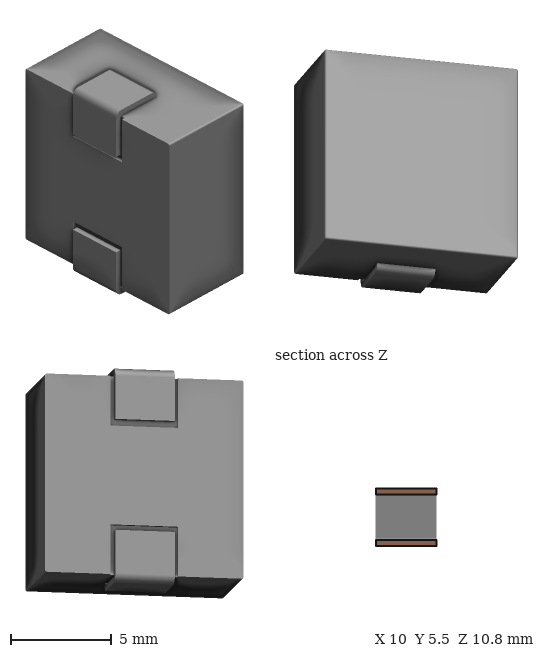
import cadquery as cq

body_side = 10.0
body_depth = 5.3
edge_radius = 0.1

overall_height = 10.8
terminal_width = 3.0
terminal_thickness = 0.3
bend_inner_radius = 0.1
bend_outer_radius = bend_inner_radius + terminal_thickness
terminal_length_y = 2.87
leg_height = 2.6
leg_protrusion = 0.2
root_depth = 0.3

recess_width = 3.4
recess_height = 2.51
recess_depth = 0.2

body_front = -body_depth / 2
body_top = body_side / 2
terminal_top = overall_height / 2
leg_end_z = terminal_top - leg_height
terminal_front = body_front - leg_protrusion
terminal_back = terminal_front + terminal_length_y
terminal_middle_y = (terminal_front + terminal_back) / 2
gap_length = terminal_length_y - 2 * terminal_thickness


def make_body():
    """Block with every edge rounded except those around the -Y face."""
    block = cq.Workplane("XY").box(body_side, body_depth, body_side)
    return block.edges("|Y or >Y").fillet(edge_radius)


def make_recess():
    """Cutter for the upper leg recess, open to the -Y and top faces."""
    return (
        cq.Workplane("XY")
        .box(recess_width, 2 * recess_depth, 2 * recess_height)
        .translate((0, body_front, body_top))
    )


def make_terminal():
    """Upper terminal: a strip rising from the body, bent over and down along the -Y face."""
    inner_height = leg_height - terminal_thickness
    outer = (
        cq.Workplane("XY")
        .box(terminal_width, terminal_length_y, leg_height)
        .edges("|X and >Z")
        .fillet(bend_outer_radius)
        .translate((0, terminal_middle_y, terminal_top - leg_height / 2))
    )
    inner = (
        cq.Workplane("XY")
        .box(terminal_width, gap_length, inner_height)
        .edges("|X and >Z")
        .fillet(bend_inner_radius)
        .translate((0, terminal_middle_y, leg_end_z + inner_height / 2))
    )
    root_bottom = body_top - root_depth
    below_root = (
        cq.Workplane("XY")
        .box(terminal_width, terminal_thickness, root_bottom - leg_end_z)
        .translate((0, terminal_back - terminal_thickness / 2, (root_bottom + leg_end_z) / 2))
    )
    return outer.cut(inner).cut(below_root)


def make_gap_filler():
    """Solid under the upper terminal, closing its clearance down to the top of the body."""
    filler_height = terminal_top - terminal_thickness / 2 - body_top
    return (
        cq.Workplane("XY")
        .box(terminal_width, gap_length, filler_height)
        .translate((0, terminal_middle_y, body_top + filler_height / 2))
    )


upper_recess = make_recess()
upper_terminal = make_terminal()

result = (
    make_body()
    .cut(upper_recess)
    .cut(upper_recess.mirror("XY"))
    .union(upper_terminal)
    .union(upper_terminal.mirror("XY"))
    .union(make_gap_filler())
)